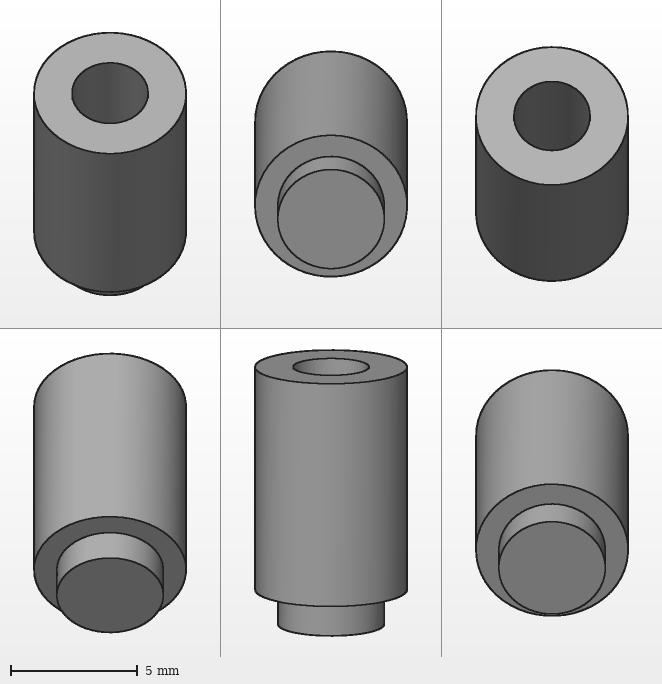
import cadquery as cq

body_diameter = 6.0
body_height = 9.0
spigot_diameter = 4.2
spigot_length = 1.4
bore_diameter = 3.0
bore_depth = body_height


def make_spigot():
    """Locating spigot standing on Z = 0."""
    return cq.Workplane("XY").circle(spigot_diameter / 2).extrude(spigot_length)


def make_body():
    """Cylindrical body resting on top of the spigot."""
    base = cq.Workplane("XY").workplane(offset=spigot_length)
    return base.circle(body_diameter / 2).extrude(body_height)


def cut_bore(part):
    """Blind, flat-bottomed bore from the top face."""
    return part.faces(">Z").workplane().hole(bore_diameter, bore_depth)


result = cut_bore(make_spigot().union(make_body()))